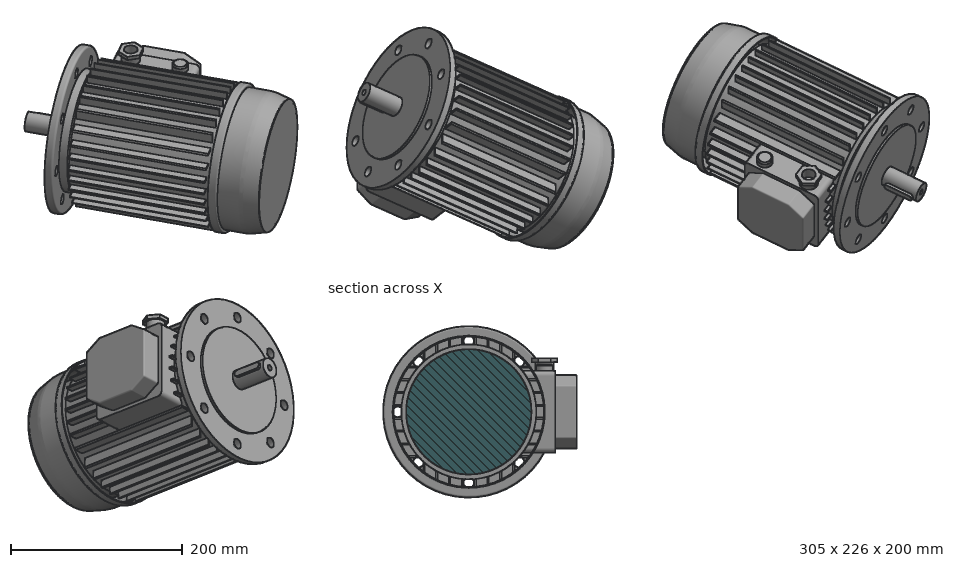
import cadquery as cq
import math


SHAFT_RADIUS = 12.0
CENTRE_HOLE_RADIUS = 3.5
CENTRE_HOLE_DEPTH = 19.0
DRILL_POINT_ANGLE = 118
KEY_START = 4.0
KEY_LENGTH = 37.5
KEY_WIDTH = 8.0
KEY_TOP = 15.0

SPIGOT_FACE = 47.0
SPIGOT_RADIUS = 65.0
FLANGE_FACE = 50.0
FLANGE_THICKNESS = 9.8
FLANGE_RADIUS = 100.0
FLANGE_FILLET = 2.7
NECK_RADIUS = 73.2
FLANGE_HOLE_COUNT = 8
FLANGE_HOLE_RADIUS = 6.0
FLANGE_HOLE_CIRCLE = 82.7

HOUSING_START = 69.8
HOUSING_RADIUS = 78.7
HOUSING_CHAMFER_LENGTH = 3.7
HOUSING_END = 247.5
REAR_NECK_END = 274.5
FIN_START = 74.7
FIN_END = 240.0
FIN_TIP_RADIUS = 87.5
FIN_THICKNESS = 2.0
FIN_PITCH = 15.0
FINS_PER_SIDE = 8

BOX_CENTRE_X = 129.3
BASE_LENGTH = 100.5
BASE_HEIGHT = 95.5
BASE_TOP = 101.0
BASE_CORNER_RADIUS = 5.8
LID_LENGTH = 89.7
LID_HEIGHT = 86.0
LID_TOP = 126.0
LID_CORNER_X = 20.0
LID_CORNER_Z = 12.5
LID_CORNER_FILLET = 2.5
LID_TOP_FILLET = 1.8

ENTRY_Y = 88.0
ENTRY_SPACING = 60.0
GLAND_X = 99.7
GLAND_NECK_RADIUS = 11.0
GLAND_NECK_HEIGHT = 10.0
GLAND_HEX_WIDTH = 26.0
GLAND_HEX_HEIGHT = 5.0
GLAND_HOLE_RADIUS = 8.0
PLUG_RADIUS = 9.5
PLUG_HEIGHT = 8.0
PLUG_CHAMFER = 1.8

COWL_START = 245.0
COWL_END = 305.0
RIM_RADIUS = 88.8
RIM_LENGTH = 10.7
RIM_FILLET = 2.0
COWL_RADIUS = 84.5
CONE_START = 284.0
CONE_END_RADIUS = 79.0
CONE_BLEND_RADIUS = 20.0
COWL_WALL = 1.2

FLANGE_BACK = FLANGE_FACE + FLANGE_THICKNESS


def cylinder(start, end, radius):
    """Cylinder about the X axis between two X positions."""
    return cq.Workplane("YZ", origin=(start, 0, 0)).circle(radius).extrude(end - start)


def make_key():
    """Round-ended key on the +Y side of the shaft, reaching in to the shaft axis."""
    middle = KEY_START + KEY_LENGTH / 2
    return (
        cq.Workplane("XZ", origin=(middle, 0, 0))
        .slot2D(KEY_LENGTH, KEY_WIDTH)
        .extrude(-KEY_TOP)
    )


def make_centre_hole():
    """Drilled hole with a conical bottom in the free end of the shaft."""
    point_length = CENTRE_HOLE_RADIUS / math.tan(math.radians(DRILL_POINT_ANGLE / 2))
    point = cq.Solid.makeCone(
        CENTRE_HOLE_RADIUS, 0, point_length, cq.Vector(CENTRE_HOLE_DEPTH, 0, 0), cq.Vector(1, 0, 0)
    )
    return cylinder(0, CENTRE_HOLE_DEPTH, CENTRE_HOLE_RADIUS).union(cq.Workplane(obj=point))


def make_drive_end():
    """Shaft, key, spigot, flange and neck as one solid."""
    flange = cylinder(FLANGE_FACE, FLANGE_BACK, FLANGE_RADIUS).faces(">X").edges().fillet(FLANGE_FILLET)
    holes = (
        cq.Workplane("YZ", origin=(FLANGE_FACE, 0, 0))
        .polarArray(FLANGE_HOLE_CIRCLE, 0, 360, FLANGE_HOLE_COUNT)
        .circle(FLANGE_HOLE_RADIUS)
        .extrude(FLANGE_THICKNESS)
    )
    return (
        flange.cut(holes)
        .union(cylinder(FLANGE_BACK, HOUSING_START, NECK_RADIUS))
        .union(cylinder(SPIGOT_FACE, FLANGE_FACE, SPIGOT_RADIUS))
        .union(cylinder(0, SPIGOT_FACE, SHAFT_RADIUS))
        .union(make_key())
        .cut(make_centre_hole())
    )


def make_fins():
    """Rows of fins along Y and along Z, with their tips trimmed to one cylinder."""
    offsets = [(i - (FINS_PER_SIDE - 1) / 2) * FIN_PITCH for i in range(FINS_PER_SIDE)]
    span = 2 * FIN_TIP_RADIUS
    plane = cq.Workplane("YZ", origin=(FIN_START, 0, 0))
    length = FIN_END - FIN_START
    upright = plane.pushPoints([(y, 0) for y in offsets]).rect(FIN_THICKNESS, span).extrude(length)
    level = plane.pushPoints([(0, z) for z in offsets]).rect(span, FIN_THICKNESS).extrude(length)
    return upright.union(level).intersect(cylinder(FIN_START, FIN_END, FIN_TIP_RADIUS))


def make_terminal_box():
    """Rounded base and corner-cut lid, both starting on the motor axis plane."""
    plane = cq.Workplane("XZ", origin=(BOX_CENTRE_X, 0, 0))
    base = plane.rect(BASE_LENGTH, BASE_HEIGHT).extrude(-BASE_TOP).edges("|Y").fillet(BASE_CORNER_RADIUS)
    x = LID_LENGTH / 2
    z = LID_HEIGHT / 2
    flat_x = x - LID_CORNER_X
    flat_z = z - LID_CORNER_Z
    corners = [
        (x, flat_z), (flat_x, z), (-flat_x, z), (-x, flat_z),
        (-x, -flat_z), (-flat_x, -z), (flat_x, -z), (x, -flat_z),
    ]
    lid = (
        plane.polyline(corners).close().extrude(-LID_TOP)
        .edges("|Y").fillet(LID_CORNER_FILLET)
        .faces(">Y").edges().fillet(LID_TOP_FILLET)
    )
    return base.union(lid)


def make_gland():
    """Hexagonal cable gland with an open bore."""
    base = cq.Workplane("XY", origin=(GLAND_X, ENTRY_Y, BASE_HEIGHT / 2))
    across_corners = GLAND_HEX_WIDTH / math.cos(math.radians(30))
    neck = base.circle(GLAND_NECK_RADIUS).extrude(GLAND_NECK_HEIGHT)
    hexagon = (
        base.workplane(offset=GLAND_NECK_HEIGHT)
        .transformed(rotate=(0, 0, 90))
        .polygon(6, across_corners)
        .extrude(GLAND_HEX_HEIGHT)
    )
    bore = base.circle(GLAND_HOLE_RADIUS).extrude(GLAND_NECK_HEIGHT + GLAND_HEX_HEIGHT)
    return neck.union(hexagon).cut(bore)


def make_plug():
    """Blanking plug with a chamfered top edge."""
    base = cq.Workplane("XY", origin=(GLAND_X + ENTRY_SPACING, ENTRY_Y, BASE_HEIGHT / 2))
    return base.circle(PLUG_RADIUS).extrude(PLUG_HEIGHT).faces(">Z").edges().chamfer(PLUG_CHAMFER)


def make_housing():
    """Finned stator housing with its rear neck, terminal box, gland and plug as one solid."""
    tube = cylinder(HOUSING_START, HOUSING_END, HOUSING_RADIUS)
    tube = tube.faces("<X").edges().chamfer(HOUSING_CHAMFER_LENGTH, HOUSING_RADIUS - NECK_RADIUS)
    tube = tube.union(cylinder(HOUSING_END, REAR_NECK_END, NECK_RADIUS))
    return tube.union(make_fins()).union(make_terminal_box()).union(make_gland()).union(make_plug())


def make_cowl():
    """Thin-walled fan cowl, open towards the housing and tapered towards its closed back."""
    hood = (
        cq.Workplane("XY")
        .moveTo(COWL_START, 0)
        .lineTo(COWL_START, COWL_RADIUS)
        .lineTo(CONE_START, COWL_RADIUS)
        .lineTo(COWL_END, CONE_END_RADIUS)
        .lineTo(COWL_END, 0)
        .close()
        .revolve(360, (0, 0, 0), (1, 0, 0))
    )
    cone_edge = cq.selectors.BoxSelector(
        (CONE_START - COWL_WALL, -RIM_RADIUS, -RIM_RADIUS),
        (CONE_START + COWL_WALL, RIM_RADIUS, RIM_RADIUS),
        boundingbox=True,
    )
    hood = hood.edges(cone_edge).fillet(CONE_BLEND_RADIUS)
    rim = cylinder(COWL_START, COWL_START + RIM_LENGTH, RIM_RADIUS).faces(">X").edges().fillet(RIM_FILLET)
    return hood.union(rim).faces("<X").shell(-COWL_WALL)


drive_end = make_drive_end()
housing = make_housing()
cowl = make_cowl()

result = cq.Compound.makeCompound([drive_end.val(), housing.val(), cowl.val()])